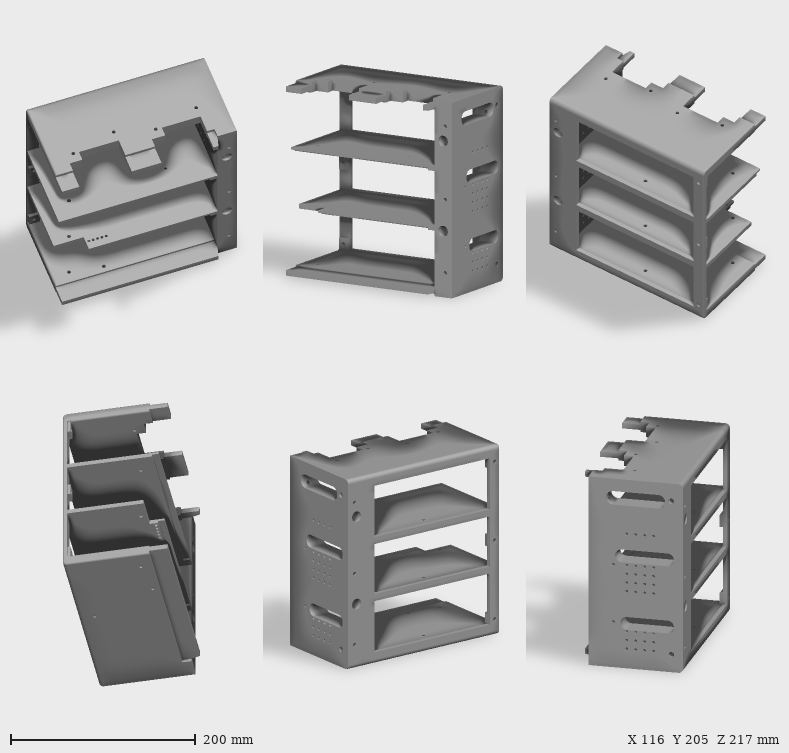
import cadquery as cq
import math

DEPTH = 205.0
HEIGHT = 217.0
LEFT_WALL = 5.0
PLATE = 12.0
PLATE_END = 95.7
REAR_END = 106.0
TONGUE_END = 116.0
SIDE_RADIUS = 5.0
FRONT_RADIUS = 2.0

REAR_WALL_Y = 183.0
REAR_WALL = DEPTH - REAR_WALL_Y

SHELF = 5.2
BAY = (HEIGHT - 2 * PLATE - 2 * SHELF) / 3
PITCH = BAY + SHELF
SHELF_FLOORS = [PLATE + BAY, PLATE + BAY + PITCH]

NOTCH_X = 85.5
DEEP_NOTCH_X = 74.6
TOP_NOTCHES = [(20.0, 34.5, 80.3), (114.5, 130.0, 174.5)]

TONGUE = 6.0
TONGUE_INSET = 3.5
TONGUE_TAPER = 2.5

RABBET_X = 98.7
RABBET_HEIGHT = SHELF / 2
RABBET_STOP_Y = 174.5
SHORT_SHELF_X = 89.2
SHORT_SHELF_Y = 34.5

WINDOW_Y = (13.7, 169.3)
WINDOW_Z = [(13.2, 71.8), (79.9, 137.1), (145.2, 203.8)]
BOSS_X = 8.5
BOSS_WIDTH = 13.7
BOSS_SETBACK = 1.0
FRONT_SCREW_Y = 7.0
FRONT_SCREW_OFFSET = 90.0
REAR_SCREW_Y = 196.4
REAR_SCREW_OFFSET = 81.4
SCREW_DIAMETER = 4.3
CABLE_DIAMETER = 12.2
CABLE_Y = 193.8
CABLE_Z = (73.3, 173.4)

SLOTS = [(10.0, 70.0, 44.3, 59.0), (10.0, 76.0, 121.5, 136.3), (20.0, 86.0, 187.0, 202.7)]
VENT_DIAMETER = 3.3
VENT_PITCH = 10.0
VENT_X = 33.0
VENT_Z = 22.4
VENT_COLUMNS = 4
VENT_ROWS = (3, 4, 1)
PIN_DIAMETER = 3.3
PIN_X = 78.0
PIN_Z = 52.3
PIN_BAYS = 2
WALL_SCREW_X = 13.0
WALL_SCREW_OFFSET = 88.3
WALL_SCREW_DIAMETER = 6.0
NUT_FLATS = 8.5
NUT_DEPTH = 4.3

MOUNT_DIAMETER = 4.1
TOP_MOUNTS = [(62.0, 79.0), (62.0, 174.0), (74.2, 28.0), (74.2, 123.0)]
FLOOR_MOUNTS = [(82.7, 20.0), (17.8, 90.0)]
BOTTOM_MOUNT = (88.3, 58.2)
SHELF_PIN_Y = 133.0
ROW_X = 96.0
ROW_Y = 38.2
ROW_PITCH = 5.0
ROW_COUNT = 5


def block(x0, x1, y0, y1, z0, z1):
    return cq.Workplane("XY").box(x1 - x0, y1 - y0, z1 - z0, centered=False).translate((x0, y0, z0))


def hole_x(diameter, y, z, length):
    """Hole along X, starting at the left face."""
    return cq.Workplane("YZ").center(y, z).circle(diameter / 2).extrude(length)


def rear_wall_plane(x, z):
    """Sketch plane on the front face of the rear wall; negative extrusions go into the wall."""
    return cq.Workplane("XZ", origin=(x, REAR_WALL_Y, z))


def hole_y(diameter, x, z):
    """Hole along Y through the rear wall."""
    return rear_wall_plane(x, z).circle(diameter / 2).extrude(-REAR_WALL)


def nut_pocket(x, z):
    """Hexagonal pocket with its points up and down."""
    corner_diameter = NUT_FLATS / math.cos(math.pi / 6)
    hexagon = rear_wall_plane(x, z).transformed(rotate=(0, 0, 90)).polygon(6, corner_diameter)
    return hexagon.extrude(-NUT_DEPTH)


def hole_z(diameter, x, y, z0, thickness):
    return cq.Workplane("XY", origin=(x, y, z0)).circle(diameter / 2).extrude(thickness)


def shell():
    """Left wall, top and bottom plates and the rear wall."""
    top_inside = HEIGHT - PLATE
    body = block(0, REAR_END, 0, DEPTH, 0, HEIGHT)
    body = body.edges("|Y and <X").fillet(SIDE_RADIUS)
    body = body.cut(block(PLATE_END, REAR_END, 0, REAR_WALL_Y, 0, HEIGHT))
    outer_edges = cq.selectors.BoxSelector((-2.2, -2.2, -2.2), (PLATE_END - 2.2, 0.2, HEIGHT + 2.2))
    body = body.edges(outer_edges).fillet(FRONT_RADIUS)
    body = body.cut(block(LEFT_WALL, PLATE_END, 0, REAR_WALL_Y, PLATE, top_inside))
    lips = cq.selectors.BoxSelector((LEFT_WALL + 2.2, -0.2, 2.2), (PLATE_END - 2.2, 0.2, HEIGHT - 2.2))
    return body.edges(lips).edges("|X").fillet(FRONT_RADIUS)


def tongue(z0):
    """Tongue over the whole depth, tapered at its rear corner."""
    outline = [
        (PLATE_END, 0),
        (TONGUE_END, 0),
        (TONGUE_END, REAR_WALL_Y - TONGUE_TAPER),
        (REAR_END, REAR_WALL_Y),
        (PLATE_END, REAR_WALL_Y),
    ]
    return cq.Workplane("XY", origin=(0, 0, z0)).polyline(outline).close().extrude(TONGUE)


def top_notches():
    cuts = cq.Workplane("XY")
    z0 = HEIGHT - PLATE
    for y_start, y_deep, y_end in TOP_NOTCHES:
        cuts = cuts.add(block(NOTCH_X, TONGUE_END, y_start, y_end, z0, HEIGHT))
        cuts = cuts.add(block(DEEP_NOTCH_X, NOTCH_X, y_deep, y_end, z0, HEIGHT))
    return cuts.combine()


def shelf(z0):
    """Full shelf with a rabbet under its +X edge."""
    plate = block(LEFT_WALL, REAR_END, 0, REAR_WALL_Y, z0, z0 + SHELF)
    return plate.cut(block(RABBET_X, REAR_END, 0, RABBET_STOP_Y, z0, z0 + RABBET_HEIGHT))


def shelves():
    lower_z, upper_z = SHELF_FLOORS
    lower = shelf(lower_z).cut(block(SHORT_SHELF_X, REAR_END, 0, SHORT_SHELF_Y, lower_z, lower_z + SHELF))
    for i in range(ROW_COUNT):
        lower = lower.cut(hole_z(PIN_DIAMETER, ROW_X, ROW_Y + i * ROW_PITCH, lower_z, SHELF))
    upper = shelf(upper_z).cut(hole_z(PIN_DIAMETER, PIN_X, SHELF_PIN_Y, upper_z, SHELF))
    return lower, upper


def screw_bosses():
    """Pads behind the front screws of the left wall, at the bottom, middle and top."""
    lowest = PLATE
    highest = HEIGHT - PLATE - BOSS_WIDTH
    spots = [lowest, (lowest + highest) / 2, highest]
    return [block(LEFT_WALL, BOSS_X, BOSS_SETBACK, BOSS_WIDTH, z, z + BOSS_WIDTH) for z in spots]


def lip_corners():
    """Square fillers that keep the plate lips sharp in front of the end bosses."""
    starts = (PLATE - FRONT_RADIUS, HEIGHT - PLATE)
    return [block(LEFT_WALL, BOSS_X, 0, FRONT_RADIUS, z, z + FRONT_RADIUS) for z in starts]


def left_wall_cuts():
    middle = HEIGHT / 2
    cuts = [block(0, LEFT_WALL, *WINDOW_Y, z0, z1) for z0, z1 in WINDOW_Z]
    for side in (-1, 0, 1):
        cuts.append(hole_x(SCREW_DIAMETER, FRONT_SCREW_Y, middle + side * FRONT_SCREW_OFFSET, BOSS_X))
        cuts.append(hole_x(SCREW_DIAMETER, REAR_SCREW_Y, middle + side * REAR_SCREW_OFFSET, REAR_END))
    for z in CABLE_Z:
        cuts.append(hole_x(CABLE_DIAMETER, CABLE_Y, z, REAR_END))
    return cuts


def rear_wall_cuts():
    cuts = []
    for x0, x1, z0, z1 in SLOTS:
        slot = rear_wall_plane((x0 + x1) / 2, (z0 + z1) / 2).slot2D(x1 - x0, z1 - z0)
        cuts.append(slot.extrude(-REAR_WALL))
    for bay, rows in enumerate(VENT_ROWS):
        for row in range(rows):
            z = VENT_Z + bay * PITCH + row * VENT_PITCH
            for column in range(VENT_COLUMNS):
                cuts.append(hole_y(VENT_DIAMETER, VENT_X + column * VENT_PITCH, z))
    for bay in range(PIN_BAYS):
        cuts.append(hole_y(PIN_DIAMETER, PIN_X, PIN_Z + bay * PITCH))
    for side in (-1, 1):
        z = HEIGHT / 2 + side * WALL_SCREW_OFFSET
        cuts.append(hole_y(WALL_SCREW_DIAMETER, WALL_SCREW_X, z))
        cuts.append(nut_pocket(WALL_SCREW_X, z))
    return cuts


def mount_holes():
    cuts = [hole_z(MOUNT_DIAMETER, x, y, HEIGHT - PLATE, PLATE) for x, y in TOP_MOUNTS]
    for x, y in FLOOR_MOUNTS:
        cuts.append(hole_z(MOUNT_DIAMETER, x, y, 0, PLATE))
        cuts += [hole_z(MOUNT_DIAMETER, x, y, z, SHELF) for z in SHELF_FLOORS]
    cuts.append(hole_z(MOUNT_DIAMETER, *BOTTOM_MOUNT, 0, PLATE))
    return cuts


result = shell()
result = result.union(tongue(HEIGHT - TONGUE_INSET - TONGUE)).cut(top_notches())
result = result.union(tongue(TONGUE_INSET))
for added in [*shelves(), *screw_bosses(), *lip_corners()]:
    result = result.union(added)
for removed in left_wall_cuts() + rear_wall_cuts() + mount_holes():
    result = result.cut(removed)